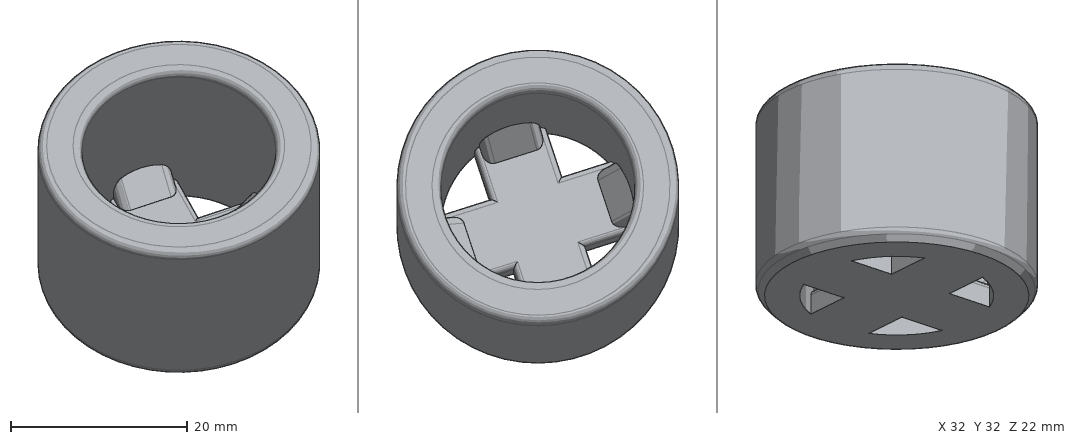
import cadquery as cq
import math

outer_radius = 16.0
bore_radius = 11.0
height = 22.0
rim_fillet = 1.0
base_chamfer = 1.0
base_blend_radius = 1.0

bar_width = 8.5
bar_thickness = 3.0
bar_edge_fillet = 0.65

gusset_count = 4
gusset_width = bar_width - 2 * bar_edge_fillet
gusset_flat_width = 5.0
gusset_toe_radius = 8.0
gusset_slope = math.radians(45)
gusset_edge_fillet = (gusset_width - gusset_flat_width) / 2

wall_overlap = 2.0
root_radius = bore_radius + wall_overlap


def make_ring():
    """Tube with rounded top rims and a blended chamfer around its base."""
    chamfer_angle = math.radians(45)
    blend_x = outer_radius - base_blend_radius
    blend_z = base_chamfer + base_blend_radius * math.tan(chamfer_angle / 2)

    def blend_point(angle):
        x = blend_x + base_blend_radius * math.cos(angle)
        z = blend_z - base_blend_radius * math.sin(angle)
        return x, z

    section = (
        cq.Workplane("XZ")
        .moveTo(bore_radius, 0)
        .lineTo(outer_radius - base_chamfer, 0)
        .lineTo(*blend_point(chamfer_angle))
        .threePointArc(blend_point(chamfer_angle / 2), blend_point(0))
        .lineTo(outer_radius, height - rim_fillet)
        .radiusArc((outer_radius - rim_fillet, height), -rim_fillet)
        .lineTo(bore_radius + rim_fillet, height)
        .radiusArc((bore_radius, height - rim_fillet), -rim_fillet)
        .close()
    )
    return section.revolve(360, (0, 0, 0), (0, 1, 0))


def make_cross():
    """Two crossing bars with rounded upper edges, ending inside the ring wall."""
    bar_length = 2 * root_radius
    bar_x = cq.Workplane("XY").rect(bar_length, bar_width).extrude(bar_thickness)
    bar_x = bar_x.edges("|X and >Z").fillet(bar_edge_fillet)
    bar_y = bar_x.rotate((0, 0, 0), (0, 0, 1), 90)
    return bar_x.union(bar_y)


def make_gusset():
    """Ramp rising outward along +X from the cross to the bore wall."""
    rise = (root_radius - gusset_toe_radius) * math.tan(gusset_slope)
    ramp = (
        cq.Workplane("XZ")
        .moveTo(gusset_toe_radius, bar_thickness)
        .lineTo(root_radius, bar_thickness)
        .lineTo(root_radius, bar_thickness + rise)
        .close()
        .extrude(gusset_width / 2, both=True)
    )
    slope_edges = ramp.edges("not(|X or |Y or |Z)")
    return slope_edges.fillet(gusset_edge_fillet)


result = make_ring().union(make_cross())
for index in range(gusset_count):
    turn = index * 360 / gusset_count
    result = result.union(make_gusset().rotate((0, 0, 0), (0, 0, 1), turn))